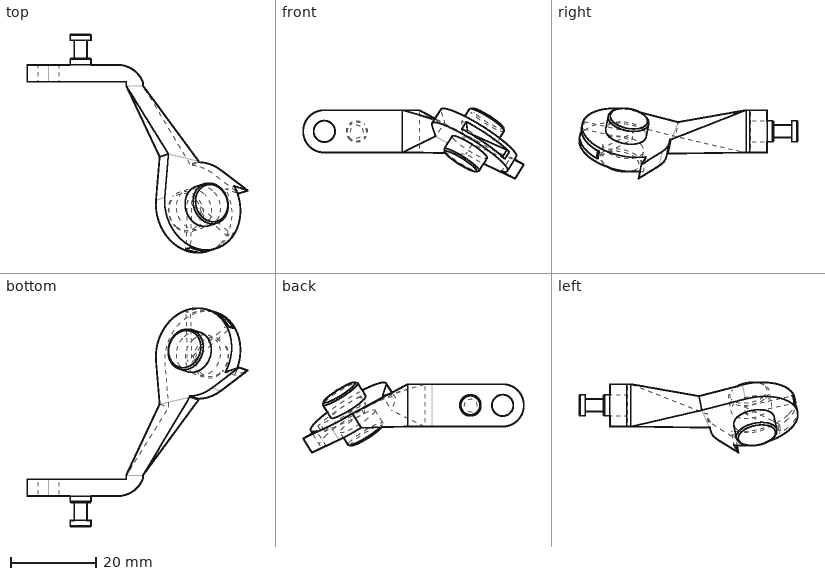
import cadquery as cq
import math

plate_thickness = 4.0
plate_height = 10.0
lug_radius = plate_height / 2
hole_diameter = 5.0
bend_inner_x = 18.25
bend_outer_x = bend_inner_x + plate_thickness
bend_start_x = 16.7
bend_mid = (20.4, -1.55)
bend_end_y = -4.15
plate_end_y = -4.9

stud_x = 7.55
collar_diameter = 5.0
neck_diameter = 3.0
collar_length = 1.5
neck_length = 4.2
collar_edge_chamfer = 0.25

disc_center = (35.15, -33.5, -2.0)
tilt = math.radians(33.5)
heading = math.radians(18)
disc_radius = 10.45
disc_thickness = 4.0
neck_corner_a = (-4.6, 14.1)
neck_corner_b = (2.85, 10.3)
tooth_tip = (13.45, 0.15)
tooth_root_angle = math.radians(12)

pin_diameter = 9.7
pin_length = 12.0
pin_edge_chamfer = 0.4

slot_width = 2.0
slot_start_angle = math.radians(238)
slot_end_angle = math.radians(305)
slot_lip_angle = math.radians(312)
slot_apex_offset = 0.28
slot_lip_inner = 0.965
slot_lip_outer = 1.035
slot_reach = 1.5

downhill = (
    math.cos(heading) * math.cos(tilt),
    math.sin(heading) * math.cos(tilt),
    -math.sin(tilt),
)
disc_axis = (
    math.cos(heading) * math.sin(tilt),
    math.sin(heading) * math.sin(tilt),
    math.cos(tilt),
)
disc_plane = cq.Plane(origin=disc_center, xDir=downhill, normal=disc_axis)


def rim_point(angle, fraction=1.0):
    """Point at a fraction of the disc radius, in the disc frame."""
    radius = fraction * disc_radius
    return (radius * math.cos(angle), radius * math.sin(angle))


def tangent_angle(point, side):
    """Rim angle where a line from an outside point touches the disc."""
    distance = math.hypot(*point)
    return math.atan2(point[1], point[0]) + side * math.acos(disc_radius / distance)


def make_plate():
    half_height = plate_height / 2
    plate = (
        cq.Workplane("XY")
        .workplane(offset=-half_height)
        .moveTo(0, 0)
        .lineTo(bend_start_x, 0)
        .threePointArc(bend_mid, (bend_outer_x, bend_end_y))
        .lineTo(bend_outer_x, plate_end_y)
        .lineTo(bend_inner_x, plate_end_y)
        .lineTo(bend_inner_x, -plate_thickness)
        .lineTo(0, -plate_thickness)
        .close()
        .extrude(plate_height)
    )
    lug = cq.Workplane("XZ").circle(lug_radius).extrude(plate_thickness)
    return plate.union(lug).cut(cq.Workplane("XZ").circle(hole_diameter / 2).extrude(plate_thickness))


def make_stud():
    """Collar against the plate, slim neck and end collar."""
    def section(start, length, diameter):
        return (
            cq.Workplane("XZ", origin=(stud_x, start, 0))
            .circle(diameter / 2)
            .extrude(-length)
        )

    collar = section(0, collar_length, collar_diameter).faces(">Y").edges().chamfer(collar_edge_chamfer)
    neck = section(0, collar_length + neck_length + collar_length, neck_diameter)
    head = section(collar_length + neck_length, collar_length, collar_diameter)
    head = head.faces(">Y").edges().chamfer(collar_edge_chamfer)
    return collar.union(neck).union(head)


def make_disc():
    """Teardrop disc with a tangent tooth on its downhill side."""
    left_tangent = tangent_angle(neck_corner_a, 1)
    tooth_tangent = tangent_angle(tooth_tip, 1)
    neck_side = math.atan2(neck_corner_b[1], neck_corner_b[0])
    arc_end = tooth_root_angle + 2 * math.pi
    return (
        cq.Workplane(disc_plane)
        .workplane(offset=-disc_thickness / 2)
        .moveTo(*neck_corner_a)
        .lineTo(*rim_point(left_tangent))
        .threePointArc(rim_point((left_tangent + arc_end) / 2), rim_point(tooth_root_angle))
        .lineTo(*tooth_tip)
        .lineTo(*rim_point(tooth_tangent))
        .threePointArc(rim_point((tooth_tangent + neck_side) / 2), rim_point(neck_side))
        .lineTo(*neck_corner_b)
        .close()
        .extrude(disc_thickness)
    )


def make_slot():
    """Sector that opens out past the rim."""
    corners = [
        (slot_reach, slot_start_angle),
        (-slot_apex_offset, slot_end_angle),
        (slot_lip_inner, slot_end_angle),
        (slot_lip_outer, slot_lip_angle),
        (slot_reach, slot_lip_angle),
    ]
    return (
        cq.Workplane(disc_plane)
        .polyline([rim_point(angle, fraction) for fraction, angle in corners])
        .close()
        .extrude(slot_width / 2, both=True)
    )


def make_pin():
    return (
        cq.Workplane(disc_plane)
        .circle(pin_diameter / 2)
        .extrude(pin_length / 2, both=True)
        .edges("%CIRCLE")
        .chamfer(pin_edge_chamfer)
    )


def make_neck():
    """Twisting arm from the plate's end face to the flat side of the disc."""
    half_height = plate_height / 2
    half_disc = disc_thickness / 2
    plate_end = [
        cq.Vector(bend_inner_x, plate_end_y, half_height),
        cq.Vector(bend_outer_x, plate_end_y, half_height),
        cq.Vector(bend_outer_x, plate_end_y, -half_height),
        cq.Vector(bend_inner_x, plate_end_y, -half_height),
    ]
    disc_end = [
        disc_plane.toWorldCoords((*neck_corner_a, half_disc)),
        disc_plane.toWorldCoords((*neck_corner_b, half_disc)),
        disc_plane.toWorldCoords((*neck_corner_b, -half_disc)),
        disc_plane.toWorldCoords((*neck_corner_a, -half_disc)),
    ]
    wires = [cq.Wire.makePolygon(corners, close=True) for corners in (plate_end, disc_end)]
    return cq.Workplane(cq.Solid.makeLoft(wires, True))


disc = make_disc().union(make_pin()).cut(make_slot())
result = make_plate().union(make_stud()).union(make_neck()).union(disc)